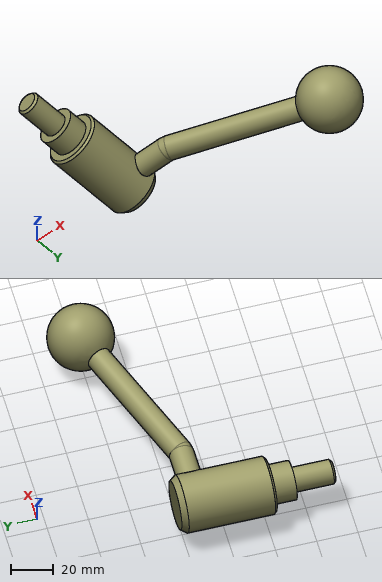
import cadquery as cq
import math

hub_diameter = 28.0
hub_length = 46.0
rear_chamfer_length = 3.0
rear_chamfer_width = 2.2
front_chamfer = 1.1
collar_diameter = 19.0
collar_length = 10.6
stud_diameter = 12.0
stud_length = 20.0
stud_chamfer = 1.1

total_length = 136.0
arm_diameter = 12.0
arm_y = -10.6
arm_angle = math.radians(20)
bend_radius = 4.0
ball_diameter = 32.0
ball_rise = 28.0

ball_x = total_length - hub_diameter / 2 - ball_diameter / 2
knee_x = ball_x - ball_rise / math.tan(arm_angle)
ball_center = cq.Vector(ball_x, arm_y + ball_rise, 0)

tangent_length = bend_radius * math.tan(arm_angle / 2)
bend_start = cq.Vector(knee_x - tangent_length, arm_y, 0)
bend_end = cq.Vector(
    knee_x + tangent_length * math.cos(arm_angle),
    arm_y + tangent_length * math.sin(arm_angle),
    0,
)


def make_spindle():
    """Revolve the chamfered hub, collar and stud about the Y axis."""
    hub_radius = hub_diameter / 2
    collar_radius = collar_diameter / 2
    stud_radius = stud_diameter / 2
    hub_front = -hub_length
    collar_front = hub_front - collar_length
    stud_front = collar_front - stud_length
    profile = [
        (0, 0),
        (hub_radius - rear_chamfer_width, 0),
        (hub_radius, -rear_chamfer_length),
        (hub_radius, hub_front + front_chamfer),
        (hub_radius - front_chamfer, hub_front),
        (collar_radius, hub_front),
        (collar_radius, collar_front),
        (stud_radius, collar_front),
        (stud_radius, stud_front + stud_chamfer),
        (stud_radius - stud_chamfer, stud_front),
        (0, stud_front),
    ]
    return cq.Workplane("XY").polyline(profile).close().revolve(360, (0, 0), (0, 1))


def make_rod(start, end):
    """Round rod of the arm diameter between two points."""
    direction = end - start
    rod = cq.Solid.makeCylinder(arm_diameter / 2, direction.Length, start, direction)
    return cq.Workplane(obj=rod)


def make_bend():
    """Outer part of the knee, swept about a pivot that lies inside the arm's radius."""
    arm_radius = arm_diameter / 2
    half_chord = math.sqrt(arm_radius**2 - bend_radius**2)
    pivot_y = arm_y + bend_radius
    section = (
        cq.Workplane("YZ", origin=(bend_start.x, 0, 0))
        .moveTo(pivot_y, -half_chord)
        .threePointArc((arm_y - arm_radius, 0), (pivot_y, half_chord))
        .close()
    )
    return section.revolve(math.degrees(arm_angle), (pivot_y, 0), (pivot_y, 1))


inner_rod = make_rod(cq.Vector(0, arm_y, 0), bend_start)
outer_rod = make_rod(bend_end, ball_center)
arm = inner_rod.union(outer_rod).union(make_bend())
ball = cq.Workplane("XY").sphere(ball_diameter / 2).translate(ball_center)
result = make_spindle().union(arm).union(ball)